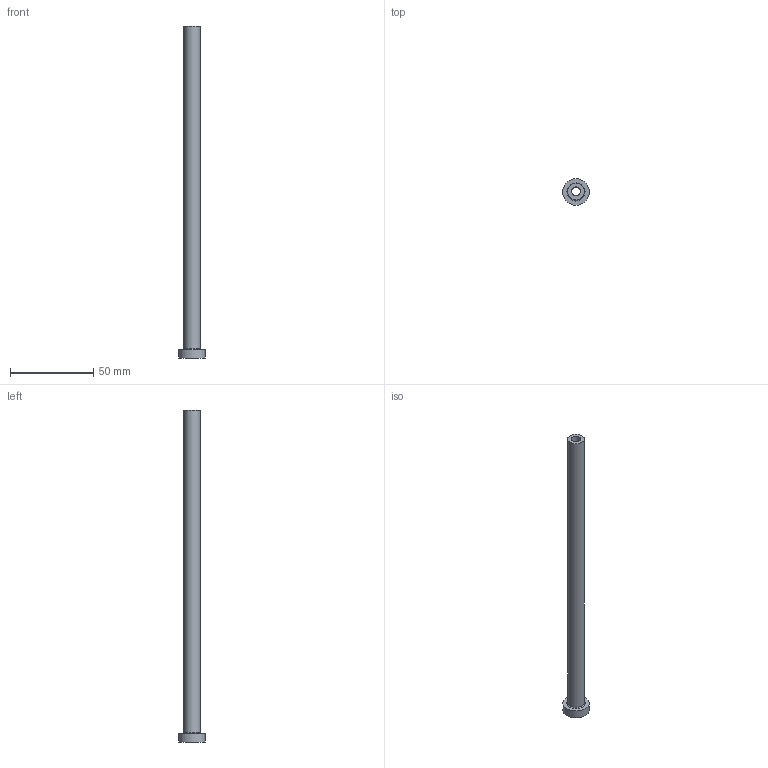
import cadquery as cq

total_length = 200.0
head_diameter = 16.0
head_height = 5.0
tube_diameter = 10.0
bore_diameter = 5.5
neck_fillet_radius = 0.5


def make_profile():
    """Half section of the sleeve in the XZ plane, from the bore wall outward."""
    bore_radius = bore_diameter / 2
    tube_radius = tube_diameter / 2
    head_radius = head_diameter / 2
    fillet_start = (tube_radius + neck_fillet_radius, head_height)
    fillet_end = (tube_radius, head_height + neck_fillet_radius)
    return (
        cq.Workplane("XZ")
        .moveTo(bore_radius, 0)
        .lineTo(head_radius, 0)
        .lineTo(head_radius, head_height)
        .lineTo(*fillet_start)
        .radiusArc(fillet_end, neck_fillet_radius)
        .lineTo(tube_radius, total_length)
        .lineTo(bore_radius, total_length)
        .close()
    )


result = make_profile().revolve(360, (0, 0, 0), (0, 1, 0))